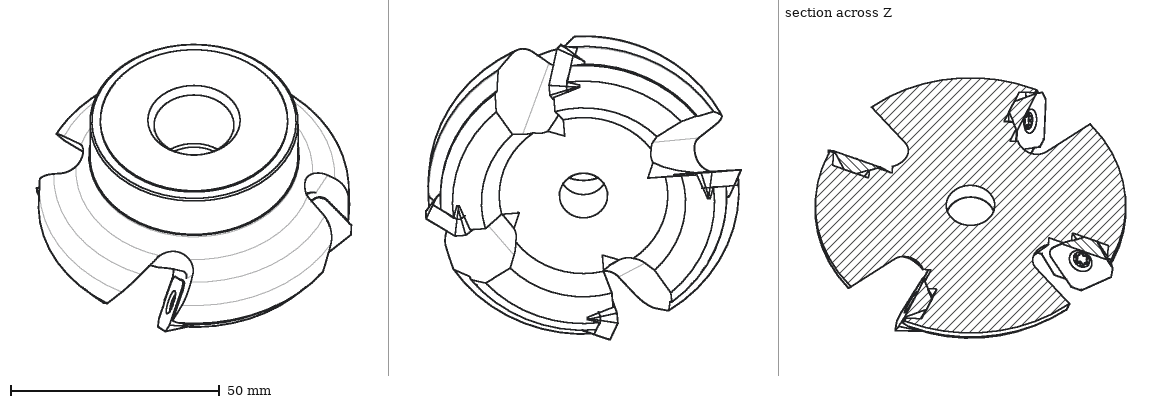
import cadquery as cq
import math

tooth_count = 4
tooth_step = 360 / tooth_count
total_height = 40.0

hub_radius = 49.8 / 2
hub_bottom = 27.0
hub_chamfer = 0.45
face_radius = 44.8 / 2
face_rise = 0.45
collar_radius = 50.3 / 2
collar_bottom = 26.5

neck_radius = 28.3
neck_bottom = 21.8
neck_middle = (26.2, 23.6)
shoulder_radius = 33.6
shoulder_height = 19.7
shoulder_middle = (36.0, 17.8)
rim_top_radius = 37.05
rim_top = 15.15
rim_radius = 37.2
rim_bottom = 8.45
rim_edge_break = 0.3
band_radius = 34.25
band_top = 4.9
band_bottom = 3.95
bottom_radius = 31.35
bottom_height = 1.15

bore_radius = 19.1 / 2
bore_depth = 20.0
bore_floor_chamfer = 0.6
bore_mouth_radius = 22.1 / 2
bore_mouth_depth = 1.75
bolt_hole_radius = 11.5 / 2
recess_top = 5.4
recess_top_radius = 20.2
recess_slope = 45

insert_width = 13.2
insert_length = 12.8
insert_corner = 1.8
insert_round = 2.3
insert_thickness = 3.65
insert_relief = 28
insert_radius = 30.2
insert_height = 7.3
insert_offset = 2.4
axial_slope = 0.4
radial_slope = 0.18

screw_shift = 0.45
screw_head_radius = 5.8 / 2
screw_seat_radius = 4.1 / 2
screw_seat_depth = 0.6
socket_radius = 3.5 / 2
socket_lobe_radius = 0.45
socket_lobe_count = 6
socket_depth = 1.4

gullet_radius = 4.6
gullet_spread = 28
gullet_end = cq.Vector(3.2, -26.8, 22.75)
gullet_lean = -0.5
gullet_reach = 30.4
gullet_length = 83.7

insert_stand = 0.4
backing_thickness = 2.7
relief_front = 5.3
relief_inner_reach = 9.1
relief_clearance = 2.4
relief_round = 3.8
relief_taper = 30

rake_normal = cq.Vector(-1, -radial_slope, axial_slope).normalized()
edge_direction = cq.Vector(axial_slope + radial_slope, -1, 1).normalized()
insert_center = cq.Vector(insert_offset, -insert_radius, insert_height)
insert_plane = cq.Plane(insert_center, edge_direction, rake_normal)
gullet_axis = cq.Vector(axial_slope - radial_slope * gullet_lean, gullet_lean, 1).normalized()
gullet_outward = gullet_axis.cross(rake_normal)


def spin(shape, tooth):
    return shape.rotate((0, 0, 0), (0, 0, 1), tooth * tooth_step)


def body_blank():
    face_base = total_height - face_rise
    profile = (
        cq.Workplane("XZ")
        .moveTo(0, total_height)
        .lineTo(face_radius, total_height)
        .lineTo(face_radius, face_base)
        .lineTo(hub_radius - hub_chamfer, face_base)
        .lineTo(hub_radius, face_base - hub_chamfer)
        .lineTo(hub_radius, hub_bottom)
        .lineTo(collar_radius, hub_bottom)
        .lineTo(collar_radius, collar_bottom)
        .threePointArc(neck_middle, (neck_radius, neck_bottom))
        .lineTo(shoulder_radius, shoulder_height)
        .threePointArc(shoulder_middle, (rim_top_radius, rim_top))
        .lineTo(rim_radius, rim_bottom + rim_edge_break)
        .lineTo(rim_radius - rim_edge_break / 2, rim_bottom)
        .lineTo(band_radius, band_top)
        .lineTo(band_radius, band_bottom)
        .lineTo(bottom_radius, bottom_height)
        .lineTo(0, bottom_height)
        .close()
    )
    return profile.revolve(360, (0, 0, 0), (0, 1, 0))


def bore_and_recess():
    bore_floor = total_height - bore_depth
    recess_depth = recess_top - bottom_height
    recess_mouth_radius = recess_top_radius + recess_depth / math.tan(math.radians(recess_slope))
    profile = (
        cq.Workplane("XZ")
        .moveTo(0, total_height)
        .lineTo(bore_mouth_radius, total_height)
        .lineTo(bore_radius, total_height - bore_mouth_depth)
        .lineTo(bore_radius, bore_floor + bore_floor_chamfer)
        .lineTo(bore_radius - bore_floor_chamfer, bore_floor)
        .lineTo(bolt_hole_radius, bore_floor)
        .lineTo(bolt_hole_radius, recess_top)
        .lineTo(recess_top_radius, recess_top)
        .lineTo(recess_mouth_radius, bottom_height)
        .lineTo(0, bottom_height)
        .close()
    )
    return profile.revolve(360, (0, 0, 0), (0, 1, 0))


def gullet():
    center = gullet_end + gullet_outward * gullet_radius
    wall_point = insert_center - rake_normal * insert_stand
    wall_distance = (center - wall_point).dot(rake_normal)
    center = center + rake_normal * (gullet_radius - wall_distance)

    spread = math.radians(gullet_spread)
    tangent_x = -gullet_radius * math.sin(spread)
    tangent_y = -gullet_radius * math.cos(spread)
    end_x = -gullet_radius * math.cos(spread / 2)
    end_y = gullet_radius * math.sin(spread / 2)
    far_x = tangent_x + gullet_reach * math.cos(spread)
    far_y = tangent_y - gullet_reach * math.sin(spread)
    return (
        cq.Workplane(cq.Plane(center, gullet_outward, gullet_axis))
        .moveTo(0, gullet_radius)
        .lineTo(gullet_reach, gullet_radius)
        .lineTo(far_x, far_y)
        .lineTo(tangent_x, tangent_y)
        .threePointArc((end_x, end_y), (0, gullet_radius))
        .close()
        .extrude(gullet_length / 2, both=True)
    )


def insert_prism(depth, taper=0):
    half_width = insert_width / 2
    half_length = insert_length / 2
    return (
        cq.Workplane(insert_plane)
        .moveTo(-half_width + insert_corner, -half_length)
        .lineTo(half_width - insert_corner, -half_length)
        .lineTo(half_width, -half_length + insert_corner)
        .lineTo(half_width, half_length - insert_round)
        .radiusArc((half_width - insert_round, half_length), -insert_round)
        .lineTo(-half_width + insert_round, half_length)
        .radiusArc((-half_width, half_length - insert_round), -insert_round)
        .lineTo(-half_width, -half_length + insert_corner)
        .close()
        .extrude(-depth, taper=taper)
    )


def screw_recess():
    center = insert_plane.toWorldCoords((0, screw_shift, 0))
    cone = cq.Solid.makeCone(
        screw_head_radius, screw_seat_radius, screw_seat_depth, center, rake_normal * -1
    )
    lobe_circle = socket_radius - socket_lobe_radius
    socket = cq.Workplane(insert_plane).center(0, screw_shift).circle(lobe_circle).extrude(-socket_depth)
    lobes = (
        cq.Workplane(insert_plane)
        .center(0, screw_shift)
        .polarArray(lobe_circle, 0, 360, socket_lobe_count)
        .circle(socket_lobe_radius)
        .extrude(-socket_depth)
    )
    return socket.union(lobes).union(cq.Workplane(cone))


def insert():
    return insert_prism(insert_thickness, insert_relief).cut(screw_recess())


def backing():
    return insert_prism(insert_thickness + backing_thickness, insert_relief)


def insert_seat():
    outer_half = (
        cq.Workplane(insert_plane)
        .center(insert_width / 4, 0)
        .rect(insert_width / 2, insert_length)
        .extrude(-insert_thickness)
    )
    outer_gap = insert_prism(insert_thickness).intersect(outer_half)
    return insert_prism(insert_thickness, insert_relief).union(outer_gap)


def corner_relief():
    inner_x = -insert_width / 2 - relief_inner_reach
    outer_x = insert_width / 2
    top_y = insert_length / 2 + relief_clearance
    bottom_y = -insert_length / 4
    return (
        cq.Workplane(insert_plane)
        .workplane(offset=-insert_stand)
        .moveTo(inner_x, bottom_y)
        .lineTo(outer_x, bottom_y)
        .lineTo(outer_x, top_y - relief_round)
        .radiusArc((outer_x - relief_round, top_y), -relief_round)
        .lineTo(inner_x, top_y)
        .close()
        .extrude(insert_stand + relief_front, taper=relief_taper)
    )


def cutter_body():
    body = body_blank()
    for tooth in range(tooth_count):
        body = body.union(spin(backing(), tooth))
    body = body.cut(bore_and_recess())
    for tooth in range(tooth_count):
        body = body.cut(spin(gullet(), tooth))
        body = body.cut(spin(insert_seat(), tooth))
        body = body.cut(spin(corner_relief(), tooth))
    return body


body = cutter_body()
inserts = [spin(insert(), tooth).val() for tooth in range(tooth_count)]

result = cq.Compound.makeCompound([body.val(), *inserts])